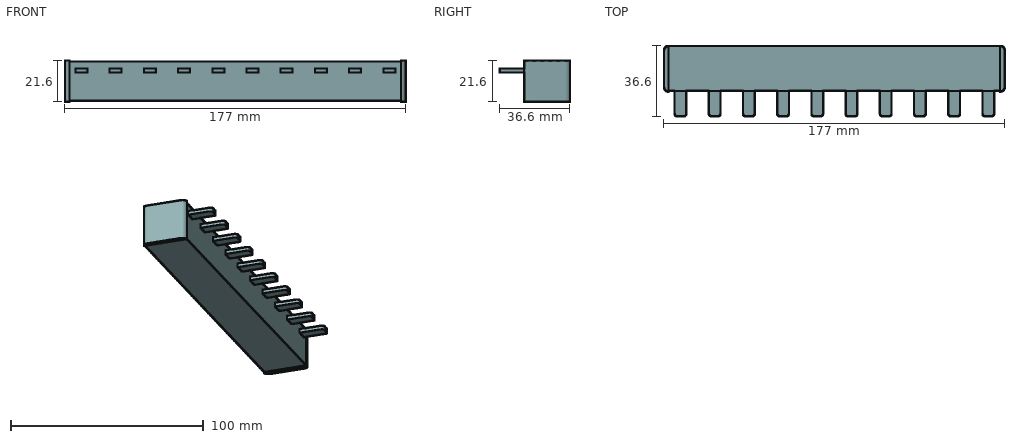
import cadquery as cq

length = 177.0
depth = 36.6
height = 21.6

cap_depth = 23.9
cap_thickness = 2.5
cap_overhang = 0.5

pin_count = 10
pin_row_span = 159.9
pin_width = 6.2
pin_thickness = 2.1
pin_radius = 1.5
pin_top_drop = 4.2

body_length = length - 2 * cap_thickness
pin_pitch = pin_row_span / (pin_count - 1)
cap_front = -cap_depth / 2
body_front = cap_front + cap_overhang
pin_tip = cap_depth / 2 - depth
pin_z = height / 2 - pin_top_drop - pin_thickness / 2


def make_body():
    """Plain bar running between the two end caps."""
    body_depth = cap_depth - cap_overhang
    return (
        cq.Workplane("XY")
        .box(body_length, body_depth, height - 2 * cap_overhang)
        .translate((0, body_front + body_depth / 2, 0))
    )


def make_caps():
    """Both end caps: the two ends of a rounded block with its middle removed."""
    rounded_block = (
        cq.Workplane("XY")
        .box(length, cap_depth, height)
        .edges("|Z")
        .fillet(cap_thickness)
    )
    middle = cq.Workplane("XY").box(body_length, cap_depth, height)
    return rounded_block.cut(middle)


def make_pin(x):
    """Flat pin from the body front face to a tip with rounded corners."""
    return (
        cq.Workplane("XY")
        .box(pin_width, body_front - pin_tip, pin_thickness)
        .edges("|Z and <Y")
        .fillet(pin_radius)
        .translate((x, (body_front + pin_tip) / 2, pin_z))
    )


result = make_body().union(make_caps())
for index in range(pin_count):
    result = result.union(make_pin(index * pin_pitch - pin_row_span / 2))